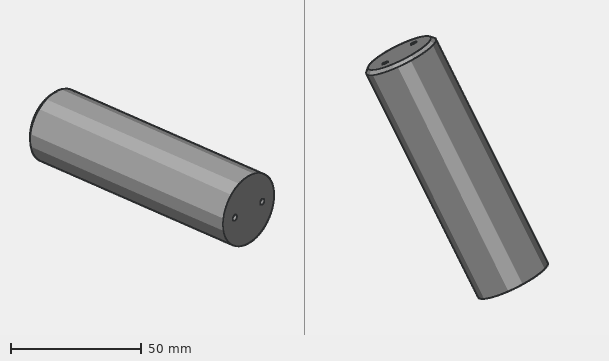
import cadquery as cq
import math

length = 100.0
diameter = 30.0
chamfer = 1.5

channel_diameter = 2.5
channel_spacing = 16.0
channel_angles = (140.0, 320.0)
surface_helix_angle = 30.0
helix_lead = math.pi * diameter / math.tan(math.radians(surface_helix_angle))
overrun = 1.0


def make_bar():
    """Round bar along +X, chamfered at the X = 0 end."""
    bar = cq.Workplane("YZ").circle(diameter / 2).extrude(length)
    return bar.faces("<X").chamfer(chamfer)


def make_channel(start_angle):
    """Right-handed helical cutter, round in every section across the bar axis."""
    cutter_length = length + 2 * overrun
    twist = 360 * cutter_length / helix_lead
    overrun_twist = 360 * overrun / helix_lead
    channel = (
        cq.Workplane("YZ", origin=(-overrun, 0, 0))
        .pushPoints([(channel_spacing / 2, 0)])
        .circle(channel_diameter / 2)
        .twistExtrude(cutter_length, twist)
    )
    return channel.rotate((0, 0, 0), (1, 0, 0), start_angle - overrun_twist)


result = make_bar()
for angle in channel_angles:
    result = result.cut(make_channel(angle))